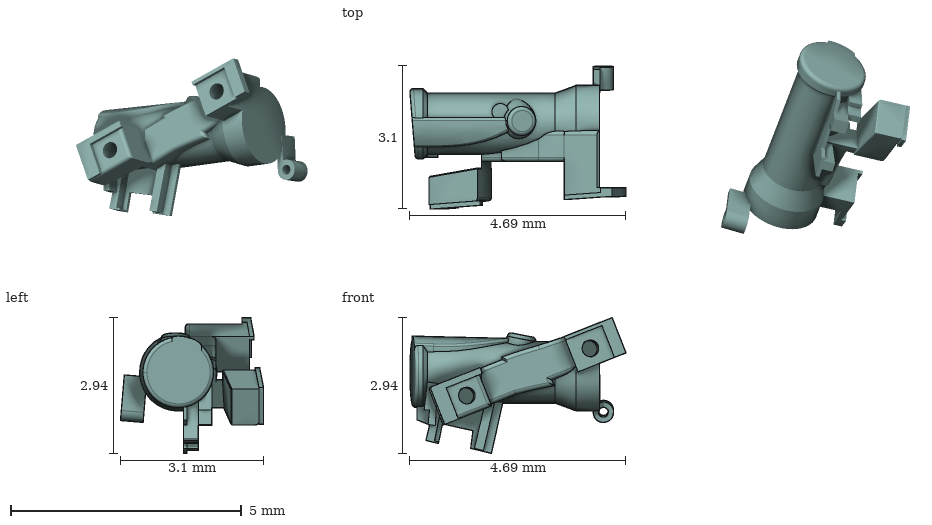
import cadquery as cq
import math


TRIM_SIZE = 6

TUBE_RADIUS = 0.67
WIDE_RADIUS = 0.838
WIDE_LENGTH = 0.505
CONE_LENGTH = 0.455
FLANGE_RADIUS = 0.765
FLANGE_BACK_X = -3.825
FLANGE_CONE_LENGTH = 0.095
FLANGE_ROUND = 0.08
FACE_CENTER_X = -4.055
FACE_TILT = 4.7
BEYOND_FACE_X = -4.4

PAD_RADIUS_AT_FACE = 0.79
PAD_RADIUS_AT_END = 0.74
PAD_END_X = -1.9
PAD_SIDE_Y = 0.14
PAD_FRONT_Y = -0.5
PAD_STRAIGHT_END_X = -3.6
PAD_CURVE_MIDDLE = (-2.71, -0.43)
PAD_END_Y = -0.13
PAD_END_DIRECTION = (1, 0.6)
PAD_ROUND = 0.07
PAD_STOCK_HEIGHT = 1

BOSS_X, BOSS_Y = -1.674, 0.06
BOSS_TOP_Z = 0.81
BOSS_RADIUS = 0.315
BOSS_DRAFT = 26
BOSS_HEIGHT = 0.55
BOSS_RIM_HEIGHT = 0.09
BOSS_TILT = 11
BOSS_ROUND = 0.085
DISC_X, DISC_Y = -2.15, 0.26
DISC_RADIUS = 0.18
DISC_TOP_Z = 0.68

SLOPE = 21.5
BAR_FRONT_Y = -0.82
BAR_BACK_Y = -0.15
BAR_ROUND = 0.09
BAR_START = -2.7
BAR_END_X = -2.56
BAR_BULGE_START = -1.86
BAR_BULGE_END = -1.02
BAR_BOTTOM = 0.22
BAR_TOP = 1.03
BAR_NARROW_BOTTOM = 0.225
BULGE_BOTTOM = 0.09
BULGE_MIDDLE_BOTTOM = 0.165
BULGE_MIDDLE_TOP = 1.065
BULGE_START_TOP = 1.085
ARM_START = -0.43
BLOCK_BOTTOM = 0.18
BLOCK_TOP = 1.0
RIM_HEIGHT = 0.1
ARM_EDGE = 0.06

RIGHT_END = 0.69
RIGHT_RIM_TOP = 1.005
RIGHT_RIM_STRIP = 0.08
RIGHT_RIM_INNER = 0.42
RIGHT_PLATE_BACK_Y = -1.38
RIGHT_FACE_Y = (-1.545, -1.47)
RIGHT_HOLE = (0.007, 0.555)

LEFT_START = -3.57
LEFT_END = -2.44
LEFT_TOP = 1.02
LEFT_RIM_START = -3.535
LEFT_RIM_END = -2.37
LEFT_RIM_TOP = 1.045
LEFT_RIM_INNER = -3.215
LEFT_RIM_STRIP = 0.14
LEFT_BACK_Y = (-1.14, -0.955)
LEFT_FACE_Y = (-1.75, -1.67)
LEFT_ROUND = 0.08
LEFT_BACK_CHAMFER = 0.02
LEFT_HOLE = (-2.858, 0.586)

HOLE_RADIUS = 0.18
HOLE_DEPTH = 0.6
HOLE_TILT = 3.8

PLATE_BACK_Y = -0.11
PLATE_FRONT_Y = -0.19
RIB_FRONT_Y = -0.435
LEG_OUTLINE = [
    (-3.96, -0.55), (-3.96, -1.03), (-3.68, -1.14), (-3.765, -1.475), (-3.49, -1.545),
    (-3.40, -1.12), (-2.745, -1.265), (-2.795, -1.65), (-2.34, -1.757), (-2.06, -0.5),
]
LEFT_RIB_OUTLINE = [(-3.765, -1.475), (-3.585, -1.522), (-3.36, -0.45), (-3.51, -0.45)]
LEFT_FOOT_OUTLINE = [(-3.765, -1.475), (-3.49, -1.545), (-3.482, -1.51), (-3.757, -1.44)]
RIGHT_RIB_OUTLINE = [(-2.71, -1.645), (-2.515, -1.695), (-2.23, -0.45), (-2.43, -0.45)]
TAB_OUTLINE = [
    (-3.73, -0.21), (-3.50, -0.24), (-3.56, -1.15), (-3.715, -1.135), (-3.685, -0.82), (-3.80, -0.815),
]
TAB_BACK_Y = RIB_FRONT_Y
TAB_FRONT_Y = -0.727

EYE_X, EYE_Z = 0.083, -0.825
EYE_RADIUS = 0.222
EYE_HOLE_RADIUS = 0.106
EYE_INNER_Y, EYE_OUTER_Y = 0.74, 1.237
EYE_TILT = 4.8
EYE_ARM_HEIGHT = 0.775
EYE_ARM_THICKNESS = 0.146


def face_y(ends, start, end, s):
    """Y of a sloping face at position s, given its Y at both ends."""
    return ends[0] + (ends[1] - ends[0]) * (s - start) / (end - start)


def prism_along_y(outline, back_y, front_y):
    """Extrude an XZ outline from back_y toward -Y."""
    return cq.Workplane("XZ", origin=(0, back_y, 0)).polyline(outline).close().extrude(back_y - front_y)


def slope_axes():
    """Unit vectors along (s) and across (t) the bracket slope."""
    angle = math.radians(SLOPE)
    along = cq.Vector(math.cos(angle), 0, math.sin(angle))
    across = cq.Vector(-math.sin(angle), 0, math.cos(angle))
    return along, across


def slope_plane(y):
    """Plane parallel to XZ whose local axes are s and t and whose normal is -Y."""
    along, _ = slope_axes()
    return cq.Workplane(cq.Plane(origin=(0, y, 0), xDir=along, normal=(0, -1, 0)))


def slope_prism(outline, bottom, top):
    """Extrude an (s, y) outline across the slope between two t values."""
    along, across = slope_axes()
    plane = cq.Plane(origin=across * bottom, xDir=along, normal=across)
    return cq.Workplane(plane).polyline(outline).close().extrude(top - bottom)


def sloped_slab(start, end, back_ends, front_ends, bottom, top):
    """Slab from start to end in s whose back and front faces are given by Y at each end."""
    outline = [(start, back_ends[0]), (end, back_ends[1]), (end, front_ends[1]), (start, front_ends[0])]
    return slope_prism(outline, bottom, top)


def raised(ends):
    """Y values of a rim standing proud of a face."""
    return tuple(y - RIM_HEIGHT for y in ends)


def trim_below_x(x):
    """Block larger than the part, occupying everything on the -X side of x."""
    return cq.Workplane("XY").box(TRIM_SIZE, TRIM_SIZE, TRIM_SIZE).translate((x - TRIM_SIZE / 2, 0, 0))


def trim_above_x(x):
    """Block larger than the part, occupying everything on the +X side of x."""
    return trim_below_x(x + TRIM_SIZE)


def face_trim():
    """Block occupying everything ahead of the tilted end face."""
    return trim_below_x(0).rotate((0, 0, 0), (0, 0, 1), FACE_TILT).translate((FACE_CENTER_X, 0, 0))


def make_tube():
    flange = cq.Workplane("YZ", origin=(BEYOND_FACE_X, 0, 0)).circle(FLANGE_RADIUS)
    flange = flange.extrude(FLANGE_BACK_X - BEYOND_FACE_X).cut(face_trim())
    flange = flange.faces("<X").edges().fillet(FLANGE_ROUND)
    profile = [
        (FLANGE_BACK_X, 0),
        (FLANGE_BACK_X, FLANGE_RADIUS),
        (FLANGE_BACK_X + FLANGE_CONE_LENGTH, TUBE_RADIUS),
        (-WIDE_LENGTH - CONE_LENGTH, TUBE_RADIUS),
        (-WIDE_LENGTH, WIDE_RADIUS),
        (0, WIDE_RADIUS),
        (0, 0),
    ]
    tube = cq.Workplane("XY").polyline(profile).close().revolve(360, (0, 0, 0), (1, 0, 0))
    return tube.union(flange)


def make_pad():
    curve_points = [PAD_CURVE_MIDDLE, (PAD_END_X, PAD_END_Y)]
    curve_ends = [(1, 0), PAD_END_DIRECTION]
    outline = (
        cq.Workplane("XY").moveTo(BEYOND_FACE_X, PAD_SIDE_Y)
        .lineTo(BEYOND_FACE_X, PAD_FRONT_Y)
        .lineTo(PAD_STRAIGHT_END_X, PAD_FRONT_Y)
        .spline(curve_points, tangents=curve_ends, includeCurrent=True)
        .lineTo(PAD_END_X, PAD_SIDE_Y).close().extrude(PAD_STOCK_HEIGHT)
    )
    taper = (PAD_RADIUS_AT_FACE - PAD_RADIUS_AT_END) / (PAD_END_X - FACE_CENTER_X)
    start_radius = PAD_RADIUS_AT_FACE + taper * (FACE_CENTER_X - BEYOND_FACE_X)
    profile = [
        (BEYOND_FACE_X, 0),
        (BEYOND_FACE_X, start_radius),
        (PAD_END_X, PAD_RADIUS_AT_END),
        (PAD_END_X, 0),
    ]
    envelope = cq.Workplane("XY").polyline(profile).close().revolve(360, (0, 0, 0), (1, 0, 0))
    pad = envelope.intersect(outline)
    long_top_edges = pad.faces(">Z").edges("not(<X or >X)")
    return long_top_edges.fillet(PAD_ROUND).cut(face_trim())


def make_boss():
    draft_growth = BOSS_HEIGHT * math.tan(math.radians(BOSS_DRAFT))
    profile = [
        (0, 0),
        (BOSS_RADIUS, 0),
        (BOSS_RADIUS, -BOSS_RIM_HEIGHT),
        (BOSS_RADIUS + draft_growth, -BOSS_RIM_HEIGHT - BOSS_HEIGHT),
        (0, -BOSS_RIM_HEIGHT - BOSS_HEIGHT),
    ]
    boss = cq.Workplane("XZ").polyline(profile).close().revolve(360, (0, 0, 0), (0, 1, 0))
    boss = boss.faces(">Z").edges().fillet(BOSS_ROUND)
    boss = boss.rotate((0, 0, 0), (0, 1, 0), BOSS_TILT)
    return boss.translate((BOSS_X, BOSS_Y, BOSS_TOP_Z))


def make_disc():
    return cq.Workplane("XY").center(DISC_X, DISC_Y).circle(DISC_RADIUS).extrude(DISC_TOP_Z)


def make_bar():
    bulge_middle = (BAR_BULGE_START + BAR_BULGE_END) / 2
    bar = (
        slope_plane(BAR_BACK_Y).moveTo(BAR_START, BAR_BOTTOM)
        .lineTo(BAR_BULGE_START, BAR_BOTTOM)
        .threePointArc((bulge_middle, BULGE_MIDDLE_BOTTOM), (BAR_BULGE_END, BULGE_BOTTOM))
        .lineTo(BAR_BULGE_END, BAR_NARROW_BOTTOM)
        .lineTo(ARM_START, BAR_NARROW_BOTTOM)
        .lineTo(ARM_START, BLOCK_TOP)
        .lineTo(BAR_BULGE_END, BAR_TOP)
        .threePointArc((bulge_middle, BULGE_MIDDLE_TOP), (BAR_BULGE_START, BULGE_START_TOP))
        .lineTo(BAR_BULGE_START, BAR_TOP)
        .lineTo(BAR_START, BAR_TOP)
        .close().extrude(BAR_BACK_Y - BAR_FRONT_Y)
    )
    bar = bar.cut(trim_below_x(BAR_END_X))
    long_front_edges = bar.faces("<Y").edges("not(<X or >X or |Z)")
    bar = long_front_edges.fillet(BAR_ROUND)
    along, across = slope_axes()
    shoulder_s = (BAR_BULGE_END + ARM_START) / 2
    shoulder = along * shoulder_s + across * BAR_TOP + cq.Vector(0, BAR_BACK_Y, 0)
    back_edge = bar.edges(cq.selectors.NearestToPointSelector(shoulder.toTuple()))
    return back_edge.fillet(BAR_ROUND)


def make_hole(center, y):
    """Blind hole square to the sloping face, entered from outside the rim."""
    along, across = slope_axes()
    tilt = math.radians(HOLE_TILT)
    position = along * center[0] + across * center[1] + cq.Vector(0, y, 0)
    inward = along * -math.sin(tilt) + cq.Vector(0, math.cos(tilt), 0)
    start = position - inward * RIM_HEIGHT
    return cq.Workplane(cq.Solid.makeCylinder(HOLE_RADIUS, HOLE_DEPTH + RIM_HEIGHT, start, inward))


def make_right_mount():
    arm = sloped_slab(
        ARM_START, RIGHT_END, (BAR_BACK_Y, BAR_BACK_Y), RIGHT_FACE_Y, BLOCK_BOTTOM, BLOCK_TOP
    )
    arm = arm.cut(trim_above_x(0))
    arm = arm.faces(">X").edges(">Z").chamfer(ARM_EDGE)
    _, across = slope_axes()
    top_face = cq.selectors.DirectionMinMaxSelector(across, True)
    arm = arm.faces(top_face).edges(">Y").fillet(BAR_ROUND)
    backs = (RIGHT_PLATE_BACK_Y, RIGHT_PLATE_BACK_Y)
    plate = sloped_slab(ARM_START, RIGHT_END, backs, RIGHT_FACE_Y, BLOCK_BOTTOM, BLOCK_TOP)
    rim_y = raised(RIGHT_FACE_Y)
    strip_bottom = RIGHT_RIM_TOP - RIGHT_RIM_STRIP
    top_rim = sloped_slab(ARM_START, RIGHT_END, RIGHT_FACE_Y, rim_y, strip_bottom, RIGHT_RIM_TOP)
    inner_y = face_y(rim_y, ARM_START, RIGHT_END, RIGHT_RIM_INNER)
    end_rim = sloped_slab(
        RIGHT_RIM_INNER, RIGHT_END, backs, (inner_y, rim_y[1]), BLOCK_BOTTOM, RIGHT_RIM_TOP
    )
    mount = arm.union(plate).union(top_rim).union(end_rim)
    hole_y = face_y(RIGHT_FACE_Y, ARM_START, RIGHT_END, RIGHT_HOLE[0])
    return mount.cut(make_hole(RIGHT_HOLE, hole_y))


def make_left_mount():
    block = sloped_slab(LEFT_START, LEFT_END, LEFT_BACK_Y, LEFT_FACE_Y, BLOCK_BOTTOM, LEFT_TOP)
    rim_back = []
    for s in (LEFT_RIM_START, LEFT_RIM_INNER, LEFT_RIM_END):
        rim_back.append(face_y(LEFT_FACE_Y, LEFT_START, LEFT_END, s))
    start_y, inner_y, end_y = rim_back
    top_back = (start_y, end_y)
    top_rim = sloped_slab(
        LEFT_RIM_START, LEFT_RIM_END, top_back, raised(top_back), LEFT_RIM_TOP - LEFT_RIM_STRIP, LEFT_RIM_TOP
    )
    end_back = (start_y, inner_y)
    end_rim = sloped_slab(
        LEFT_RIM_START, LEFT_RIM_INNER, end_back, raised(end_back), BLOCK_BOTTOM, LEFT_RIM_TOP
    )
    outer_edges = block.faces("<Y").edges("<Z or >X")
    block = outer_edges.fillet(LEFT_ROUND)
    block = block.faces(">Y").edges().chamfer(LEFT_BACK_CHAMFER)
    link_end_y = LEFT_FACE_Y[1] + LEFT_ROUND
    link_y = (BAR_FRONT_Y + BAR_ROUND, BAR_FRONT_Y + BAR_ROUND)
    link = sloped_slab(BAR_START, LEFT_END, link_y, (link_end_y, link_end_y), BAR_BOTTOM, BLOCK_TOP)
    link = link.cut(trim_below_x(BAR_END_X))
    mount = block.union(link).union(top_rim).union(end_rim)
    hole_y = face_y(LEFT_FACE_Y, LEFT_START, LEFT_END, LEFT_HOLE[0])
    return mount.cut(make_hole(LEFT_HOLE, hole_y))


def make_legs():
    plate = prism_along_y(LEG_OUTLINE, PLATE_BACK_Y, PLATE_FRONT_Y)
    for rib_outline in (LEFT_RIB_OUTLINE, LEFT_FOOT_OUTLINE, RIGHT_RIB_OUTLINE):
        plate = plate.union(prism_along_y(rib_outline, PLATE_BACK_Y, RIB_FRONT_Y))
    tab = prism_along_y(TAB_OUTLINE, TAB_BACK_Y, TAB_FRONT_Y)
    return plate.union(tab)


def make_eye():
    width = EYE_OUTER_Y - EYE_INNER_Y
    plane = cq.Workplane("XZ", origin=(EYE_X, EYE_OUTER_Y, EYE_Z))
    arm_side = EYE_ARM_THICKNESS - EYE_RADIUS
    ring = plane.circle(EYE_RADIUS).extrude(width)
    arm = plane.moveTo(-EYE_RADIUS, 0).lineTo(-EYE_RADIUS, EYE_ARM_HEIGHT)
    arm = arm.lineTo(arm_side, EYE_ARM_HEIGHT)
    arm = arm.lineTo(arm_side, 0).close().extrude(width)
    hole = plane.circle(EYE_HOLE_RADIUS).extrude(width)
    eye = ring.union(arm).cut(hole)
    pivot = (EYE_X, EYE_OUTER_Y, EYE_Z)
    return eye.rotate(pivot, (EYE_X + 1, EYE_OUTER_Y, EYE_Z), EYE_TILT)


result = make_tube().union(make_pad()).union(make_boss()).union(make_disc())
for feature in (make_bar(), make_right_mount(), make_left_mount(), make_legs(), make_eye()):
    result = result.union(feature)